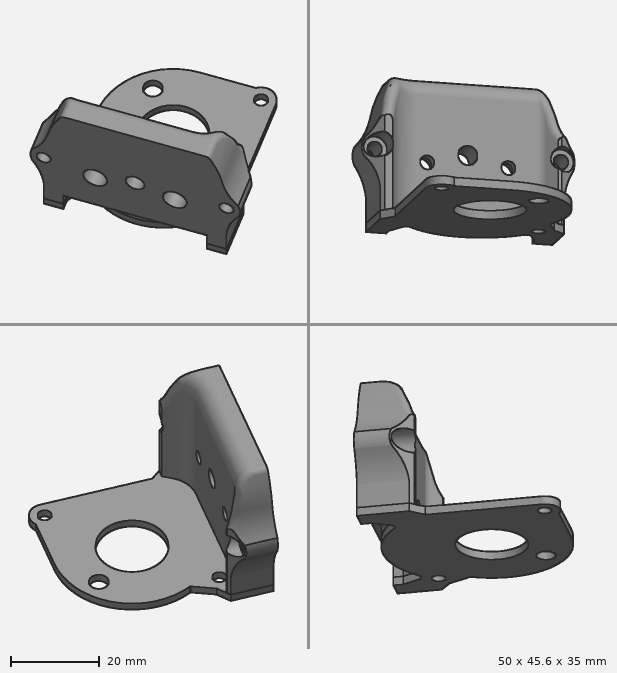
import cadquery as cq
import math

plate_thickness = 2.0
wall_top = 35.0
ear_half_width = 25.0
foot_half_width = 21.8
wall_thickness = 7.5

motor_y = 26.45
disc_radius = 18.4
disc_end_angle = 207.0
motor_bore = 16.5
screw_offset = 15.6
screw_diameter = 3.2
plate_ear_radius = 3.55
vent_x = -8.5
vent_y = 37.15
vent_diameter = 4.5
right_edge = screw_offset + plate_ear_radius
waist_x = -16.4
waist_y = 17.9
shoulder_x = -18.85
shoulder_y = 12.6

left_tip_y = 7.5
right_tip_y = 8.2
right_shoulder_y = 15.3

left_flare_y = 10.75
right_flare_y = 13.05
left_bend_x = -17.3
right_bend_x = 15.5
left_flare_angle = 48.0
right_flare_angle = 57.0
left_bend_radius = 2.5
right_bend_radius = 7.5
rear_radius = 4.0

shoulder_half_width = 17.5
waist_half_width = 20.95
waist_z = 26.3
ear_z = 17.5
ear_top_z = 19.55
ear_bottom_z = 2 * ear_z - ear_top_z
ear_tangent_x = 24.6
foot_z = 7.7
rim_radius = 1.6
lower_arc_middle = (22.7, 11.75)
upper_arc_middle = (22.15, 22.95)
shoulder_arc_middle = (19.65, 30.8)

ear_hole_diameter = 3.4
ear_counterbore_diameter = 5.75
ear_counterbore_floor_y = 7.5
center_hole_diameter = 4.5
bolt_x = 9.5
bolt_z = 15.25
bolt_diameter = 3.25
counterbore_diameter = 5.7
counterbore_depth = 5.0

pocket_half_width = 17.1
pocket_height = 5.1
pocket_nose_y = 1.35
pocket_nose_radius = 18.5
pocket_nose_half_width = 13.1
pocket_side_depth = 2.35
pocket_corner_x = 15.2
pocket_corner_y = 6.25
pocket_relief_x = 14.2
pocket_relief_y = 7.1


def diagonal_y(x, shoulder, tip):
    """Y at the given X on the straight line through two XY points."""
    return tip[1] + (x - tip[0]) * (shoulder[1] - tip[1]) / (shoulder[0] - tip[0])


def diagonal_x(y, shoulder, tip):
    """X at the given Y on the straight line through two XY points."""
    return tip[0] + (y - tip[1]) * (shoulder[0] - tip[0]) / (shoulder[1] - tip[1])


left_shoulder = (shoulder_x, shoulder_y)
left_tip = (-ear_half_width, left_tip_y)
right_shoulder = (right_edge, right_shoulder_y)
right_tip = (ear_half_width, right_tip_y)


def make_pocket():
    """Pocket open to the front and bottom, with a convex nose in the middle of its back."""
    sag = pocket_nose_radius - math.sqrt(pocket_nose_radius**2 - pocket_nose_half_width**2)
    nose_end_y = pocket_nose_y + sag
    return (
        cq.Workplane("XY")
        .moveTo(-pocket_half_width, 0)
        .lineTo(pocket_half_width, 0)
        .lineTo(pocket_half_width, pocket_side_depth)
        .lineTo(pocket_corner_x, pocket_corner_y)
        .threePointArc((pocket_relief_x, pocket_relief_y), (pocket_nose_half_width, nose_end_y))
        .threePointArc((0, pocket_nose_y), (-pocket_nose_half_width, nose_end_y))
        .threePointArc((-pocket_relief_x, pocket_relief_y), (-pocket_corner_x, pocket_corner_y))
        .lineTo(-pocket_half_width, pocket_side_depth)
        .close()
        .extrude(pocket_height)
    )


def make_plate():
    """Motor plate with its corner ear, side feet and holes."""
    disc_angle = math.radians(disc_end_angle)
    disc_end = (disc_radius * math.cos(disc_angle), motor_y + disc_radius * math.sin(disc_angle))
    plate = (
        cq.Workplane("XY")
        .moveTo(-foot_half_width, 0)
        .lineTo(foot_half_width, 0)
        .lineTo(foot_half_width, diagonal_y(foot_half_width, right_shoulder, right_tip))
        .lineTo(*right_shoulder)
        .lineTo(right_edge, motor_y + disc_radius)
        .lineTo(0, motor_y + disc_radius)
        .threePointArc((-disc_radius, motor_y), disc_end)
        .lineTo(waist_x, waist_y)
        .lineTo(*left_shoulder)
        .lineTo(-foot_half_width, diagonal_y(-foot_half_width, left_shoulder, left_tip))
        .close()
        .extrude(plate_thickness)
    )
    corner = (
        cq.Workplane("XY")
        .rect(plate_ear_radius, plate_ear_radius, centered=False)
        .extrude(plate_thickness)
        .translate((screw_offset, motor_y + screw_offset, 0))
    )
    ear = (
        cq.Workplane("XY")
        .center(screw_offset, motor_y + screw_offset)
        .circle(plate_ear_radius)
        .extrude(plate_thickness)
    )
    plate = plate.cut(corner).union(ear)
    holes = [
        (0, motor_y, motor_bore),
        (vent_x, vent_y, vent_diameter),
        (screw_offset, motor_y + screw_offset, screw_diameter),
        (-screw_offset, motor_y - screw_offset, screw_diameter),
    ]
    for x, y, diameter in holes:
        plate = plate.cut(cq.Workplane("XY").center(x, y).circle(diameter / 2).extrude(plate_thickness))
    return plate.cut(make_pocket())


def extrude_front_outline():
    """Symmetric front outline of the wall, extruded toward +Y."""
    half = (
        cq.Workplane("XZ")
        .moveTo(0, plate_thickness)
        .lineTo(foot_half_width, plate_thickness)
        .lineTo(foot_half_width, foot_z)
        .threePointArc(lower_arc_middle, (ear_tangent_x, ear_bottom_z))
        .threePointArc((ear_half_width, ear_z), (ear_tangent_x, ear_top_z))
        .threePointArc(upper_arc_middle, (waist_half_width, waist_z))
        .threePointArc(shoulder_arc_middle, (shoulder_half_width, wall_top))
        .lineTo(0, wall_top)
        .close()
        .extrude(-ear_half_width)
    )
    return half.union(half.mirror("YZ"))


def make_flared_block():
    """Block with a flat front, a rear that flares out at both ends, and a rounded top rear edge."""
    reach = 2 * ear_half_width
    right_rise = (reach - right_bend_x) * math.tan(math.radians(right_flare_angle))
    left_rise = (reach + left_bend_x) * math.tan(math.radians(left_flare_angle))
    block = (
        cq.Workplane("XY")
        .workplane(offset=plate_thickness)
        .moveTo(-reach, 0)
        .lineTo(reach, 0)
        .lineTo(reach, wall_thickness + right_rise)
        .lineTo(right_bend_x, wall_thickness)
        .lineTo(left_bend_x, wall_thickness)
        .lineTo(-reach, wall_thickness + left_rise)
        .close()
        .extrude(wall_top - plate_thickness)
    )
    for x, radius in [(right_bend_x, right_bend_radius), (left_bend_x, left_bend_radius)]:
        bend = cq.selectors.NearestToPointSelector((x, wall_thickness, wall_top / 2))
        block = block.edges(bend).fillet(radius)
    middle_edge = cq.selectors.NearestToPointSelector((0, wall_thickness, wall_top))
    return block.edges(middle_edge).fillet(rear_radius)


def round_rims(body):
    """Round the left and right rims of the top, from the front corners down to the side ears."""
    return body.edges("|Y and >Z").fillet(rim_radius)


def make_end_trim():
    """Plan outline that cuts the flares to their flat tips and diagonal ends."""
    left_x = diagonal_x(left_flare_y, left_shoulder, left_tip)
    right_x = diagonal_x(right_flare_y, right_shoulder, right_tip)
    return (
        cq.Workplane("XY")
        .moveTo(-ear_half_width, 0)
        .lineTo(ear_half_width, 0)
        .lineTo(*right_tip)
        .lineTo(right_x, right_flare_y)
        .lineTo(0, right_flare_y)
        .lineTo(0, left_flare_y)
        .lineTo(left_x, left_flare_y)
        .lineTo(*left_tip)
        .close()
        .extrude(wall_top)
    )


def bore(x, z, diameter, depth):
    """Cutter for a round hole that runs from the front face toward +Y."""
    return cq.Workplane("XZ").center(x, z).circle(diameter / 2).extrude(-depth)


def make_wall():
    """Upright wall with its flares, side ears, holes and clearance pocket."""
    wall = round_rims(extrude_front_outline().intersect(make_flared_block())).intersect(make_end_trim())
    for side in (-1, 1):
        wall = wall.cut(bore(side * foot_half_width, ear_z, ear_hole_diameter, ear_half_width))
        ear_counterbore = bore(side * foot_half_width, ear_z, ear_counterbore_diameter, ear_half_width)
        wall = wall.cut(ear_counterbore.translate((0, ear_counterbore_floor_y, 0)))
        wall = wall.cut(bore(side * bolt_x, bolt_z, bolt_diameter, ear_half_width))
        wall = wall.cut(bore(side * bolt_x, bolt_z, counterbore_diameter, counterbore_depth))
    wall = wall.cut(bore(0, ear_z, center_hole_diameter, ear_half_width))
    return wall.cut(make_pocket())


plate = make_plate()
wall = make_wall()
result = cq.Compound.makeCompound([plate.val(), wall.val()])